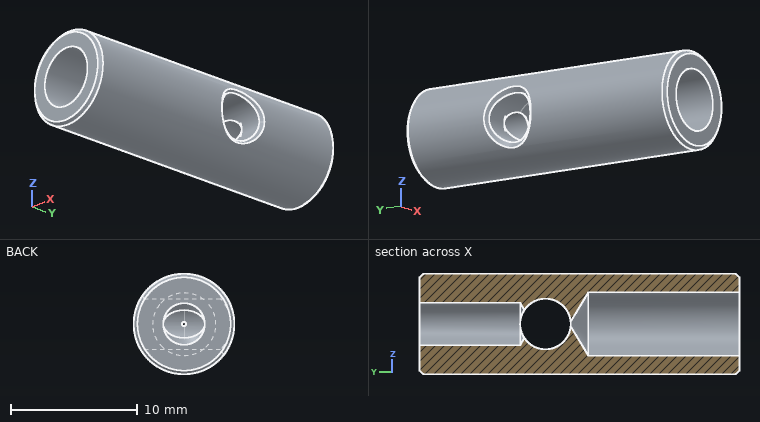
import cadquery as cq
import math

body_diameter = 8.0
body_length = 25.4
end_chamfer = 0.3

front_bore_diameter = 5.0
front_bore_depth = 12.0
back_bore_diameter = 3.3
back_bore_depth = 8.0
drill_tip_angle = 118.0

cross_hole_diameter = 4.0
cross_hole_from_back = 10.0
cross_hole_edge_break = 0.3

bevel_inner_x = 2.7
bevel_outer_x = 4.2
bevel_curve_points = 48

body_radius = body_diameter / 2
cross_hole_radius = cross_hole_diameter / 2
front_y = -body_length / 2
back_y = body_length / 2
cross_hole_y = back_y - cross_hole_from_back


def make_body():
    """Solid cylinder with both end rims chamfered."""
    body = cq.Workplane("XZ", origin=(0, back_y, 0)).circle(body_radius).extrude(body_length)
    return body.faces("<Y or >Y").chamfer(end_chamfer)


def make_bevel_section(x_plane):
    """Closed curve where the bevel of the -X rim, extended along its straight rulings, meets an X plane.

    A ball of the edge-break radius rolls inside the material along the rim; each ruling joins
    the points where it touches the hole wall and the body surface.
    """
    ball_path_hole_radius = cross_hole_radius + cross_hole_edge_break
    ball_path_body_radius = body_radius - cross_hole_edge_break
    to_body = body_radius / ball_path_body_radius
    to_hole = cross_hole_radius / ball_path_hole_radius

    def section_point(turn):
        angle = 2 * math.pi * turn
        ball_y = ball_path_hole_radius * math.cos(angle)
        ball_z = ball_path_hole_radius * math.sin(angle)
        ball_x = -math.sqrt(ball_path_body_radius**2 - ball_z**2)
        inner = cq.Vector(ball_x, ball_y * to_hole, ball_z * to_hole)
        outer = cq.Vector(ball_x * to_body, ball_y, ball_z * to_body)
        reach = (x_plane - inner.x) / (outer.x - inner.x)
        point = inner + (outer - inner) * reach
        return (point.y, point.z)

    section = cq.Workplane("YZ", origin=(x_plane, cross_hole_y, 0))
    return section.parametricCurve(section_point, N=bevel_curve_points).val()


def make_rim_bevel():
    """Cutter for the bevel of the -X rim, from inside the hole to just outside the body."""
    sections = [make_bevel_section(-bevel_inner_x), make_bevel_section(-bevel_outer_x)]
    return cq.Workplane(cq.Solid.makeLoft(sections, True))


def cut_cross_hole(body):
    """Drill through along X, bevel the -X rim and chamfer the +X rim by equal edge distances."""
    hole = (
        cq.Workplane("YZ", origin=(0, cross_hole_y, 0))
        .circle(cross_hole_radius)
        .extrude(body_diameter, both=True)
    )
    far_rim = cq.selectors.BoxSelector(
        (0, cross_hole_y - cross_hole_diameter, -body_diameter),
        (body_diameter, cross_hole_y + cross_hole_diameter, body_diameter),
        boundingbox=True,
    )
    drilled = body.cut(hole).edges(far_rim).chamfer(cross_hole_edge_break)
    return drilled.cut(make_rim_bevel())


def make_drilled_bore(diameter, depth, end_y, direction):
    """Straight bore from the end face at end_y along direction * Y, with a conical drill tip."""
    radius = diameter / 2
    tip_length = radius / math.tan(math.radians(drill_tip_angle / 2))
    shoulder_y = end_y + direction * depth
    return (
        cq.Workplane("XY")
        .moveTo(0, end_y)
        .lineTo(radius, end_y)
        .lineTo(radius, shoulder_y)
        .lineTo(0, shoulder_y + direction * tip_length)
        .close()
        .revolve(360, (0, 0, 0), (0, 1, 0))
    )


front_bore = make_drilled_bore(front_bore_diameter, front_bore_depth, front_y, 1)
back_bore = make_drilled_bore(back_bore_diameter, back_bore_depth, back_y, -1)

result = cut_cross_hole(make_body()).cut(front_bore).cut(back_bore)